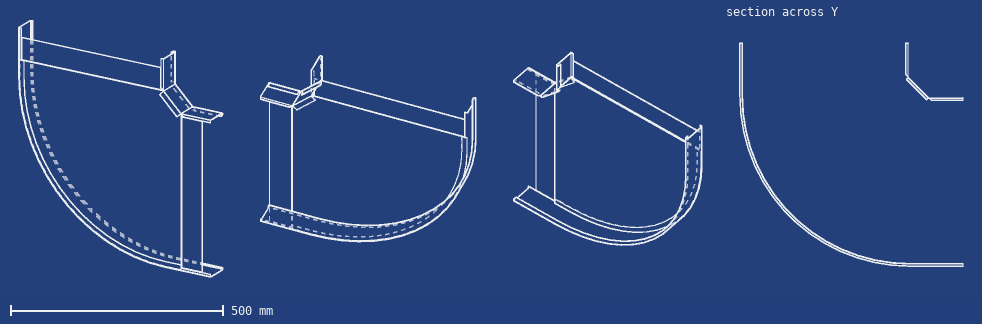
import cadquery as cq
import math


SIDE = 525.0
DEPTH = 57.0
THICKNESS = 1.5

LOW = -SIDE / 2
HIGH = SIDE / 2
FRONT = -DEPTH / 2
BACK = DEPTH / 2

BEND_RADIUS = 2.35
ROLL_RADIUS = 3.5
HEM_DEPTH = 10.0
WIDE_FLANGE = 15.0
NARROW_FLANGE = 7.5

OUTER_RADIUS = 400.0
ARC_CENTRE = LOW + OUTER_RADIUS
INNER_FACE = 134.5
STRIP_START = 181.5

EDGE_GAP = 1.0
STRIP_INSET = NARROW_FLANGE + EDGE_GAP
PLATE_INSET = BEND_RADIUS
PLATE_CORNER = INNER_FACE - math.sqrt(2) * THICKNESS
JOGGLE = 1.5
STRIP_LENGTH = 58.0
STRIP_STEP = 1.0
LIP_SLOPE = 3.0
LIP = 1.5


def mirrored(body):
    """Copy of a body with X and Z exchanged."""
    return body.mirror((1, 0, -1))


def wall_section(plane, flange, rounded):
    """Wall section: local x runs inward from the outer face, local y runs to the back."""
    roll_start = BACK - ROLL_RADIUS
    hem = 2 * ROLL_RADIUS
    section = (
        cq.Workplane(plane)
        .moveTo(THICKNESS, roll_start)
        .threePointArc((ROLL_RADIUS, BACK - THICKNESS), (hem - THICKNESS, roll_start))
        .lineTo(hem - THICKNESS, BACK - HEM_DEPTH)
        .lineTo(hem, BACK - HEM_DEPTH)
        .lineTo(hem, roll_start)
        .threePointArc((ROLL_RADIUS, BACK), (0, roll_start))
    )
    if not rounded:
        return (
            section
            .lineTo(0, FRONT)
            .lineTo(flange, FRONT)
            .lineTo(flange, FRONT + THICKNESS)
            .lineTo(THICKNESS, FRONT + THICKNESS)
            .close()
        )
    bend_centre = FRONT + BEND_RADIUS
    outer_middle = BEND_RADIUS * (1 - math.sqrt(0.5))
    inner_middle = BEND_RADIUS - (BEND_RADIUS - THICKNESS) * math.sqrt(0.5)
    return (
        section
        .lineTo(0, bend_centre)
        .threePointArc((outer_middle, FRONT + outer_middle), (BEND_RADIUS, FRONT))
        .lineTo(flange, FRONT)
        .lineTo(flange, FRONT + THICKNESS)
        .lineTo(BEND_RADIUS, FRONT + THICKNESS)
        .threePointArc((inner_middle, FRONT + inner_middle), (THICKNESS, bend_centre))
        .close()
    )


def make_outer_wall():
    """Quarter-circle wall that runs on into a straight arm at each end."""

    def section_at(z, flange):
        plane = cq.Plane(origin=(LOW, 0, z), xDir=(1, 0, 0), normal=(0, 0, 1))
        return wall_section(plane, flange, rounded=True)

    curve = section_at(ARC_CENTRE, WIDE_FLANGE).revolve(90, (OUTER_RADIUS, 0), (OUTER_RADIUS, -1))
    arm = section_at(ARC_CENTRE, WIDE_FLANGE).extrude(STRIP_START - ARC_CENTRE)
    arm = arm.union(section_at(STRIP_START, NARROW_FLANGE).extrude(HIGH - STRIP_START))
    return curve.union(arm).union(mirrored(arm))


def make_inner_arm():
    """Straight arm along Z whose flange and roll are mitred at the lower end."""
    plane = cq.Plane(origin=(INNER_FACE, 0, HIGH), xDir=(-1, 0, 0), normal=(0, 0, -1))
    arm = wall_section(plane, NARROW_FLANGE, rounded=False).extrude(HIGH - STRIP_START)
    mitre = (
        cq.Workplane("XZ", origin=(INNER_FACE, 0, STRIP_START))
        .polyline([(0, 0), (-WIDE_FLANGE, WIDE_FLANGE), (-WIDE_FLANGE, 0)])
        .close()
        .extrude(DEPTH / 2, both=True)
    )
    return arm.cut(mitre)


def make_inner_web():
    """Bent upright sheet that joins the arms of the inner wall to its diagonal."""
    corner_shift = THICKNESS * math.tan(math.radians(45 / 2))
    inside = INNER_FACE - THICKNESS
    inside_corner = STRIP_START - corner_shift
    return (
        cq.Workplane("XZ", origin=(0, FRONT, 0))
        .polyline([
            (INNER_FACE, HIGH),
            (INNER_FACE, STRIP_START),
            (STRIP_START, INNER_FACE),
            (HIGH, INNER_FACE),
            (HIGH, inside),
            (inside_corner, inside),
            (inside, inside_corner),
            (inside, HIGH),
        ])
        .close()
        .extrude(-(DEPTH - ROLL_RADIUS))
    )


def make_inner_wall():
    """Two straight arms joined by a 45 degree diagonal."""
    arm = make_inner_arm()
    plane = cq.Plane(origin=(INNER_FACE, 0, STRIP_START), xDir=(-1, 0, -1), normal=(1, 0, -1))
    diagonal_length = math.sqrt(2) * (STRIP_START - INNER_FACE)
    diagonal = wall_section(plane, WIDE_FLANGE, rounded=False).extrude(diagonal_length)
    return make_inner_web().union(arm).union(mirrored(arm)).union(diagonal)


def make_strip():
    """End strip along X, brought forward in two steps; its free edge is level with the flanges."""
    plate_front = FRONT + THICKNESS
    strip_front = plate_front - STRIP_STEP
    free_edge = STRIP_START + STRIP_LENGTH
    lip_start = free_edge - LIP
    front_line = [
        (plate_front, STRIP_START),
        (strip_front, STRIP_START + JOGGLE),
        (strip_front, lip_start - LIP_SLOPE),
        (FRONT, lip_start),
        (FRONT, free_edge),
    ]
    back_line = [(y + THICKNESS, z) for y, z in reversed(front_line)]
    left = LOW + STRIP_INSET
    right = INNER_FACE - STRIP_INSET
    strip = (
        cq.Workplane("YZ", origin=(left, 0, 0))
        .polyline(front_line + back_line)
        .close()
        .extrude(PLATE_CORNER - left)
    )
    beside_arm = (
        cq.Workplane("XZ")
        .polyline([
            (PLATE_CORNER, STRIP_START),
            (right, STRIP_START + PLATE_CORNER - right),
            (right, HIGH),
            (PLATE_CORNER, HIGH),
        ])
        .close()
        .extrude(DEPTH / 2)
    )
    return strip.cut(beside_arm)


def make_plate():
    """Flat plate behind the wide flanges, with a strip at each open end."""
    edge = LOW + PLATE_INSET
    radius = OUTER_RADIUS - PLATE_INSET
    arc_middle = ARC_CENTRE - radius * math.sqrt(0.5)
    flat = (
        cq.Workplane("XZ", origin=(0, FRONT + THICKNESS, 0))
        .moveTo(edge, STRIP_START)
        .lineTo(PLATE_CORNER, STRIP_START)
        .lineTo(STRIP_START, PLATE_CORNER)
        .lineTo(STRIP_START, edge)
        .lineTo(ARC_CENTRE, edge)
        .threePointArc((arc_middle, arc_middle), (edge, ARC_CENTRE))
        .close()
        .extrude(-THICKNESS)
    )
    strip = make_strip()
    return flat.union(strip).union(mirrored(strip))


plate = make_plate()
outer_wall = make_outer_wall()
inner_wall = make_inner_wall()

result = cq.Compound.makeCompound([
    plate.solids().val(),
    outer_wall.solids().val(),
    inner_wall.solids().val(),
])